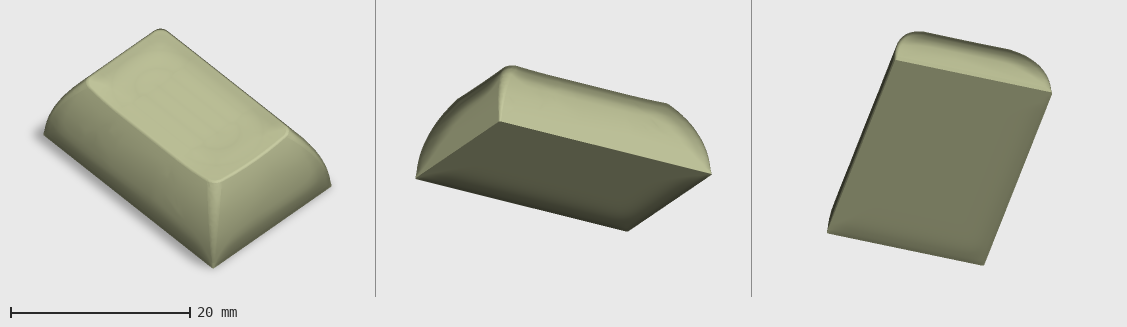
import cadquery as cq
import math

length = 27.8
width = 18.3

lip_height = 0.72
lip_inset = 0.08

wall_radius = 13.9
wall_arc_center_z = 0.28
blank_height = 10.0
wall_sections = 7

foot_corner_radius = 0.2
top_corner_radius = 1.28

dish_radius = 52.85
dish_bottom_z = 8.45
dish_half_straight = 4.75
rim_fillet = 0.4
rim_margin = 0.2


def wall_sag(z):
    """Inward departure of the wall arc from the vertical at height z."""
    return wall_radius - math.sqrt(wall_radius**2 - (z - wall_arc_center_z) ** 2)


def wall_inset(z):
    """Distance of the wall inside the base outline at height z."""
    return lip_inset + wall_sag(z) - wall_sag(lip_height)


def corner_radius(z):
    return foot_corner_radius + (top_corner_radius - foot_corner_radius) * z / blank_height


def outline(z, inset):
    """Rounded rectangle at height z, set in from the base outline."""
    base = cq.Workplane("XY", origin=(0, 0, z))
    rectangle = base.rect(length - 2 * inset, width - 2 * inset).val()
    return rectangle.fillet2D(corner_radius(z), rectangle.Vertices())


def make_lip():
    wires = [outline(0, 0), outline(lip_height, lip_inset)]
    return cq.Workplane(cq.Solid.makeLoft(wires, True))


def make_walls():
    step = (blank_height - lip_height) / (wall_sections - 1)
    heights = [lip_height + i * step for i in range(wall_sections)]
    wires = [outline(z, wall_inset(z)) for z in heights]
    return cq.Workplane(cq.Solid.makeLoft(wires, False))


def make_dish():
    """Long round-ended body whose underside hollows the top."""
    axis_z = dish_bottom_z + dish_radius
    trough = (
        cq.Workplane("YZ", origin=(-dish_half_straight, 0, axis_z))
        .circle(dish_radius)
        .extrude(2 * dish_half_straight)
    )
    end_profile = (
        cq.Workplane("XZ", origin=(dish_half_straight, 0, axis_z))
        .moveTo(0, -dish_radius)
        .threePointArc((dish_radius, 0), (0, dish_radius))
        .close()
    )
    end = end_profile.revolve(360, (0, 0, 0), (0, 1, 0))
    return trough.union(end).union(end.mirror("YZ"))


def round_rim(body):
    """Round the edge between the dish and the walls."""
    rim = cq.selectors.BoxSelector(
        (-length, -width, dish_bottom_z + rim_margin),
        (length, width, blank_height),
    )
    return body.edges(rim).fillet(rim_fillet)


blank = make_walls().cut(make_dish())
result = round_rim(blank.union(make_lip()))